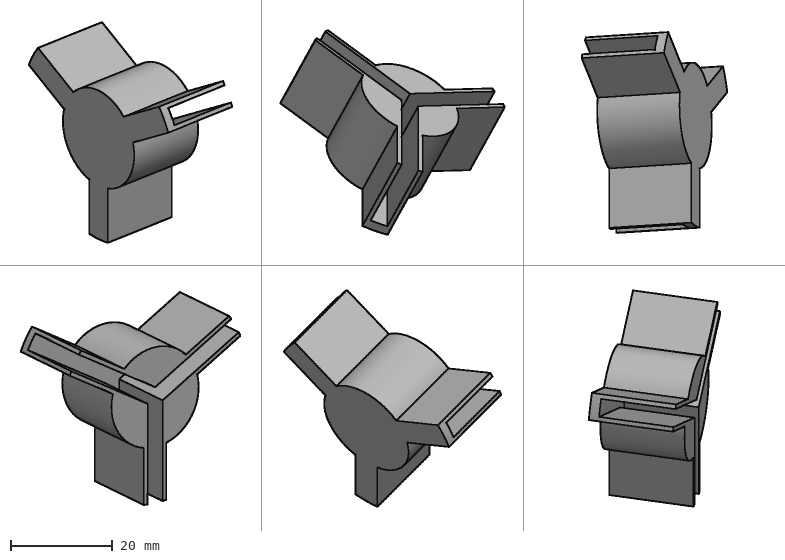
import cadquery as cq

thickness = 17.0
hub_radius = 10.45
tip_radius = 22.15
arm_width = 5.42
arm_angles = (0, 120, 240)
slot_width = 3.6
front_wall = 2.0
slot_depth = thickness - front_wall


def hub_axis_cylinder(radius):
    """Full-thickness cylinder about the hub axis."""
    return cq.Workplane("XZ").circle(radius).extrude(-thickness)


def radial_bar(width, front_y, depth, angle):
    """Rectangular bar running from the hub axis out to the arm tip."""
    bar = cq.Workplane("XY").box(width, depth, tip_radius, centered=(True, False, False))
    bar = bar.translate((0, front_y, -tip_radius))
    return bar.rotate((0, 0, 0), (0, 1, 0), angle)


body = hub_axis_cylinder(hub_radius)
for angle in arm_angles:
    body = body.union(radial_bar(arm_width, 0, thickness, angle))
body = body.intersect(hub_axis_cylinder(tip_radius))

for angle in arm_angles:
    body = body.cut(radial_bar(slot_width, front_wall, slot_depth, angle))

result = body